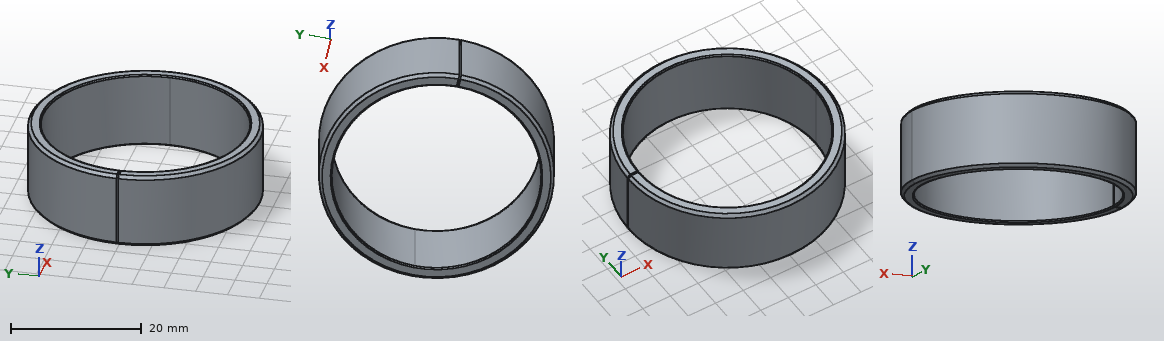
import cadquery as cq

outer_diameter = 36.0
bore_diameter = 32.0
height = 12.0
outer_chamfer = 0.5
bore_chamfer = 0.2
slit_width = 0.3

outer_radius = outer_diameter / 2
bore_radius = bore_diameter / 2
half_height = height / 2


def ring():
    """Revolve the wall section, with both edges of each end chamfered."""
    outer_shoulder = half_height - outer_chamfer
    bore_shoulder = half_height - bore_chamfer
    end_outer_radius = outer_radius - outer_chamfer
    end_inner_radius = bore_radius + bore_chamfer
    section = [
        (bore_radius, -bore_shoulder),
        (end_inner_radius, -half_height),
        (end_outer_radius, -half_height),
        (outer_radius, -outer_shoulder),
        (outer_radius, outer_shoulder),
        (end_outer_radius, half_height),
        (end_inner_radius, half_height),
        (bore_radius, bore_shoulder),
    ]
    return cq.Workplane("XZ").polyline(section).close().revolve(360, (0, 0), (0, 1))


def slit():
    """Slab through the -X wall, with one face on the XZ plane and the other on its +Y side."""
    slab = cq.Workplane("XY").box(outer_diameter, slit_width, height)
    return slab.translate((-outer_radius, slit_width / 2, 0))


result = ring().cut(slit())